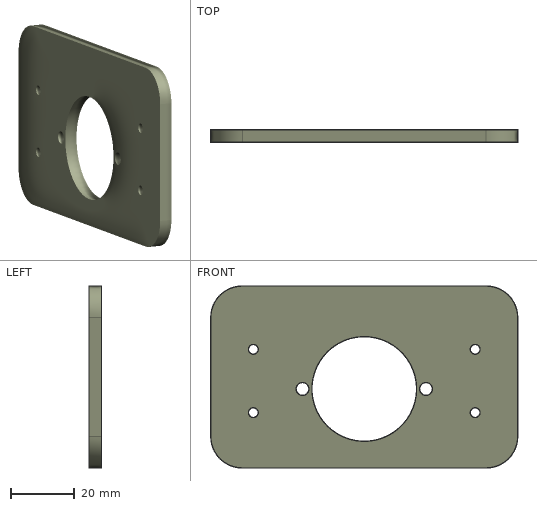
import cadquery as cq

width = 97.0
height = 57.5
thickness = 4.0
corner_radius = 10.0

opening_diameter = 33.0
opening_z = -3.8
side_hole_diameter = 4.0
side_hole_spacing = 39.0

mount_hole_diameter = 3.0
mount_spacing_x = 70.0
mount_spacing_z = 20.0
mount_center_z = -1.3

back_plane = cq.Workplane("XZ", origin=(0, thickness / 2, 0))


def through_holes(diameter, points):
    """Cylinders along Y that pass through the whole plate."""
    return back_plane.pushPoints(points).circle(diameter / 2).extrude(thickness)


plate = (
    back_plane.rect(width, height)
    .extrude(thickness)
    .edges("|Y")
    .fillet(corner_radius)
)

opening = through_holes(opening_diameter, [(0, opening_z)])

side_holes = through_holes(
    side_hole_diameter,
    [(side * side_hole_spacing / 2, opening_z) for side in (-1, 1)],
)

mount_holes = through_holes(
    mount_hole_diameter,
    [
        (side * mount_spacing_x / 2, mount_center_z + level * mount_spacing_z / 2)
        for side in (-1, 1)
        for level in (-1, 1)
    ],
)

result = plate.cut(opening).cut(side_holes).cut(mount_holes)